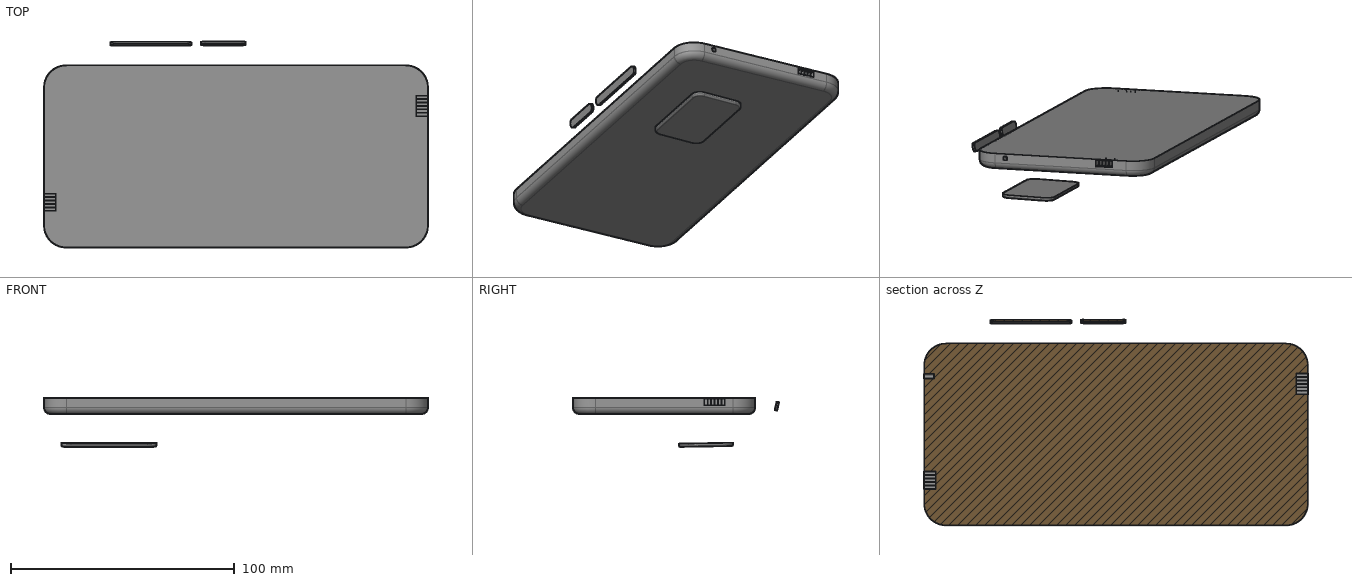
import cadquery as cq

phone_length = 171.89
phone_width = 81.6
phone_height = 7.3
phone_corner_radius = 10.0
back_fillet = 3.1

cell_count = {-1: 5, 1: 6}
cell_pitch = 1.55
cell_wall = 0.1
cell_height = 2.9
cell_depth = 5.3
cell_roof = 0.4
row_center_y = {-1: -20.5, 1: 22.6}

port_diameter = 1.9
port_depth = 4.5
port_center_y = 26.0
port_center_z = phone_height - 2.0

button_height = 3.9
button_thickness = 1.05
button_corner_radius = 1.9
button_lean = 13.0
long_button_center_y = 50.4
short_button_center_y = 50.56
button_center_z = 3.6
long_button_span = (-56.2, -19.9)
short_button_span = (-15.8, 4.4)

plate_length = 42.6
plate_width = 24.3
plate_thickness = 1.6
plate_corner_radius = 4.2
plate_bottom_fillet = 0.8
plate_tilt = 1.0
plate_center_x = -phone_length / 2 + 7.8 + plate_length / 2
plate_center_y = 18.75
plate_drop = 13.71


def end_cells(side):
    """Cutters for the row of openings in the end at +X (side = 1) or -X (side = -1)."""
    center_x = side * (phone_length - cell_depth) / 2
    center_z = phone_height - cell_roof - cell_height / 2
    return (
        cq.Workplane("XY", origin=(center_x, row_center_y[side], center_z))
        .rarray(1, cell_pitch, 1, cell_count[side])
        .box(cell_depth, cell_pitch - cell_wall, cell_height)
    )


def build_phone():
    body = (
        cq.Workplane("XY")
        .box(phone_length, phone_width, phone_height, centered=(True, True, False))
        .edges("|Z").fillet(phone_corner_radius)
        .faces("<Z").edges().fillet(back_fillet)
    )
    for side in row_center_y:
        body = body.cut(end_cells(side))
    port = (
        cq.Workplane("YZ", origin=(-phone_length / 2, port_center_y, port_center_z))
        .circle(port_diameter / 2)
        .extrude(port_depth)
    )
    return body.cut(port)


def build_button(span, center_y):
    start_x, end_x = span
    return (
        cq.Workplane("XY")
        .box(end_x - start_x, button_thickness, button_height)
        .edges("|Y").fillet(button_corner_radius)
        .rotate((0, 0, 0), (1, 0, 0), -button_lean)
        .translate(((start_x + end_x) / 2, center_y, button_center_z))
    )


def build_plate():
    return (
        cq.Workplane("XY")
        .box(plate_length, plate_width, plate_thickness)
        .edges("|Z").fillet(plate_corner_radius)
        .faces("<Z").edges().fillet(plate_bottom_fillet)
        .rotate((0, 0, 0), (1, 0, 0), plate_tilt)
        .translate((plate_center_x, plate_center_y, -plate_drop))
    )


phone = build_phone()
long_button = build_button(long_button_span, long_button_center_y)
short_button = build_button(short_button_span, short_button_center_y)
plate = build_plate()

result = cq.Compound.makeCompound(
    [phone.val(), long_button.val(), short_button.val(), plate.val()]
)